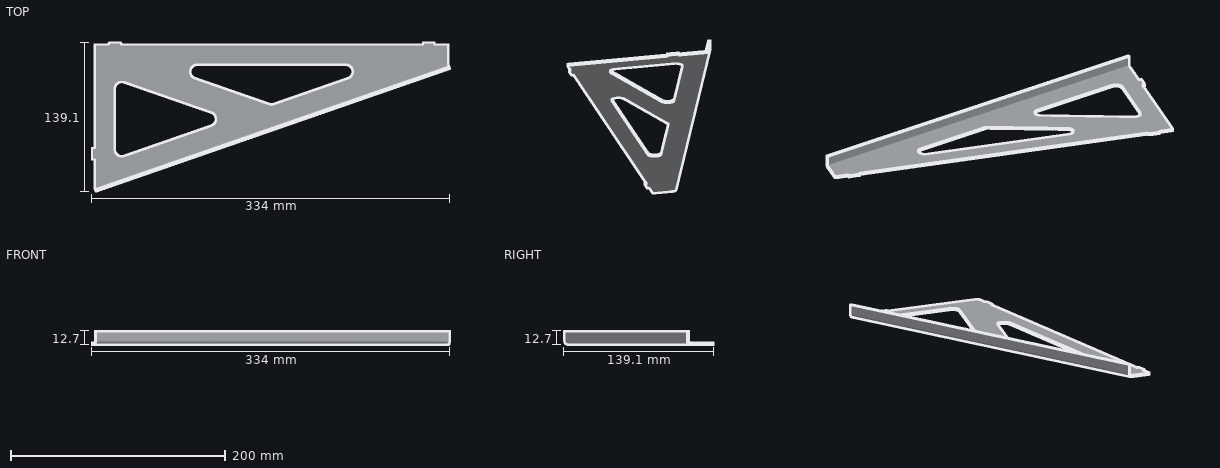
import math

import cadquery as cq

thickness = 1.905
inner_bend_radius = thickness
outer_bend_radius = inner_bend_radius + thickness
flange_height = 12.7

plate_length = 330.2
left_side = 133.6
right_side = 19.05
edge_rise = left_side - right_side
slope_angle = math.degrees(math.atan2(edge_rise, plate_length))
slope = edge_rise / plate_length
long_edge_length = math.hypot(plate_length, edge_rise)
slant_factor = long_edge_length / plate_length

band_width = 19.05
brace_width = 25.5
window_radius = 6.35

back_tab_height = thickness
left_tab_height = 2.54
tab_width = 11.1
tapered_tab_base = 12.7
tab_taper = 1.27
tapered_tab_center = 19.05
far_tab_center = 311.75
left_tab_center = -102.0


def prism(points):
    """Polygon extruded through the sheet thickness."""
    return cq.Workplane("XY").polyline(points).close().extrude(thickness)


def plate():
    return prism([(0, 0), (plate_length, 0), (plate_length, -right_side), (0, -left_side)])


def back_tab(center, base, taper):
    """Tab on the plate's long square side, narrowing by taper at each end."""
    half_base = base / 2
    half_top = half_base - taper
    return prism(
        [
            (center - half_base, 0),
            (center + half_base, 0),
            (center + half_top, back_tab_height),
            (center - half_top, back_tab_height),
        ]
    )


def left_tab():
    bottom = left_tab_center - tab_width / 2
    top = left_tab_center + tab_width / 2
    return prism([(-left_tab_height, bottom), (0, bottom), (0, top), (-left_tab_height, top)])


def flange():
    """Bend and upright flange along the long edge, ends cut square to that edge."""
    section_plane = cq.Plane(origin=(0, 0, 0), xDir=(0, -1, 0), normal=(-1, 0, 0))
    mid_bend = math.sqrt(0.5)
    outer_middle = (outer_bend_radius * mid_bend, outer_bend_radius * (1 - mid_bend))
    inner_middle = (inner_bend_radius * mid_bend, outer_bend_radius - inner_bend_radius * mid_bend)
    straight_flange = (
        cq.Workplane(section_plane)
        .moveTo(0, 0)
        .threePointArc(outer_middle, (outer_bend_radius, outer_bend_radius))
        .lineTo(outer_bend_radius, flange_height)
        .lineTo(inner_bend_radius, flange_height)
        .lineTo(inner_bend_radius, outer_bend_radius)
        .threePointArc(inner_middle, (0, thickness))
        .close()
        .extrude(-long_edge_length)
    )
    return straight_flange.rotate((0, 0, 0), (0, 0, 1), slope_angle).translate((0, -left_side, 0))


def band_edge_y(x):
    """Y, at x, of the inner border of the band along the long edge."""
    return -left_side + x * slope + band_width * slant_factor


middle_x = plate_length / 2
upper_window_apex_y = band_edge_y(middle_x)


def upper_window():
    """Isosceles window under the back side, with a sharp lower corner."""
    half_width = (-band_width - upper_window_apex_y) / slope
    window = prism(
        [
            (middle_x, upper_window_apex_y),
            (middle_x + half_width, -band_width),
            (middle_x - half_width, -band_width),
        ]
    )
    return window.edges("|Z and (<X or >X)").fillet(window_radius)


def left_window():
    """Isosceles window beside the left side; its upper edge runs along the brace."""
    bottom_y = band_edge_y(band_width)
    brace_upper_y = upper_window_apex_y + (middle_x - band_width) * slope
    top_y = brace_upper_y - brace_width * slant_factor
    half_height = (top_y - bottom_y) / 2
    apex = (band_width + half_height / slope, bottom_y + half_height)
    window = prism([(band_width, bottom_y), apex, (band_width, top_y)])
    return window.edges("|Z").fillet(window_radius)


result = (
    plate()
    .union(back_tab(tapered_tab_center, tapered_tab_base, tab_taper))
    .union(back_tab(far_tab_center, tab_width, 0))
    .union(left_tab())
    .union(flange())
    .cut(upper_window())
    .cut(left_window())
)